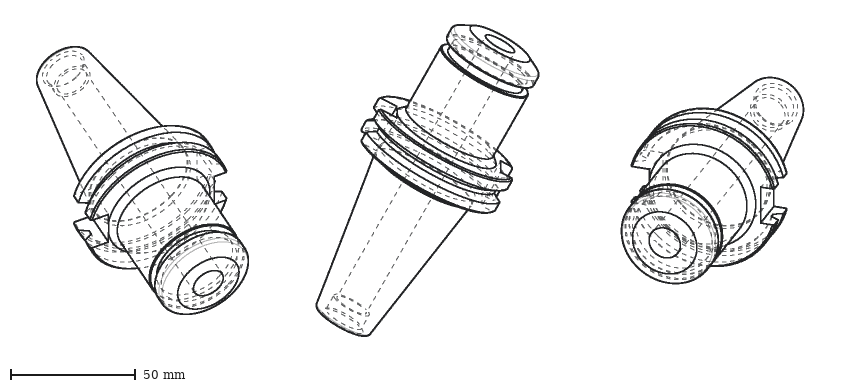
import cadquery as cq

length = 132.1

taper_slope = 7 / 48
taper_end_x = 68.2
taper_end_radius = 22.2
tip_rounding = 1.5
neck_radius = 43.7 / 2

flange_start_x = 71.2
flange_end_x = 87.2
flange_radius = 63.3 / 2
flange_chamfer = 0.7
groove_mid_x = 79.1
groove_top_width = 6.2
groove_floor_width = 2.0
groove_floor_radius = 28.0

slot_width = 16.1
front_slot_floor = 22.6
back_slot_floor = 24.8

body_radius = 40.0 / 2
body_start_x = 90.0
collar_radius = body_radius + body_start_x - flange_end_x
body_end_x = 119.4
edge_chamfer = 0.4
ring_groove_radius = 34.0 / 2
head_start_x = 123.5
nose_start_x = 128.4
nose_radius = 13.7
nose_rounding = 1.6

through_radius = 13.3 / 2
counterbore_radius = 16.2 / 2
counterbore_depth = 7.7
mouth_radius = 9.4
mouth_depth = 1.2


def revolve(points):
    """Revolve a closed (x, radius) outline about the X axis."""
    return cq.Workplane("XY").polyline(points).close().revolve(360, (0, 0, 0), (1, 0, 0))


def round_circle(solid, x, radius, rounding):
    """Round the circular edge with the given radius at the given X."""
    tol = 0.01
    box = cq.selectors.BoxSelector(
        (x - tol, -radius - tol, -radius - tol), (x + tol, radius + tol, radius + tol), boundingbox=True
    )
    return solid.edges(box).edges(cq.selectors.RadiusNthSelector(-1)).fillet(rounding)


def make_shank():
    tip_radius = taper_end_radius - taper_end_x * taper_slope
    shank = revolve([
        (0, 0),
        (0, tip_radius),
        (taper_end_x, taper_end_radius),
        (taper_end_x, neck_radius),
        (flange_start_x, neck_radius),
        (flange_start_x, 0),
    ])
    return round_circle(shank, 0, tip_radius, tip_rounding)


def make_flange():
    half_top = groove_top_width / 2
    half_floor = groove_floor_width / 2
    rim_radius = flange_radius - flange_chamfer
    return revolve([
        (flange_start_x, 0),
        (flange_start_x, rim_radius),
        (flange_start_x + flange_chamfer, flange_radius),
        (groove_mid_x - half_top, flange_radius),
        (groove_mid_x - half_floor, groove_floor_radius),
        (groove_mid_x + half_floor, groove_floor_radius),
        (groove_mid_x + half_top, flange_radius),
        (flange_end_x - flange_chamfer, flange_radius),
        (flange_end_x, rim_radius),
        (flange_end_x, 0),
    ])


def make_body():
    body = revolve([
        (flange_end_x, 0),
        (flange_end_x, collar_radius),
        (body_start_x, body_radius),
        (body_end_x - edge_chamfer, body_radius),
        (body_end_x, body_radius - edge_chamfer),
        (body_end_x, ring_groove_radius),
        (head_start_x, ring_groove_radius),
        (head_start_x, body_radius - edge_chamfer),
        (head_start_x + edge_chamfer, body_radius),
        (nose_start_x, body_radius),
        (length, nose_radius),
        (length, 0),
    ])
    return round_circle(body, nose_start_x, body_radius, nose_rounding)


def make_slot(side, floor):
    """Cutter for a driving slot; side is -1 for -Y and +1 for +Y."""
    slot_length = body_start_x - flange_start_x
    return (
        cq.Workplane("XY")
        .box(slot_length, flange_radius, slot_width, centered=(False, True, True))
        .translate((flange_start_x, side * (floor + flange_radius / 2), 0))
    )


def make_bore():
    return revolve([
        (0, 0),
        (0, mouth_radius),
        (mouth_depth, counterbore_radius),
        (counterbore_depth, counterbore_radius),
        (counterbore_depth, through_radius),
        (length, through_radius),
        (length, 0),
    ])


result = make_shank().union(make_flange()).union(make_body())
result = result.cut(make_slot(-1, front_slot_floor)).cut(make_slot(1, back_slot_floor))
result = result.cut(make_bore())